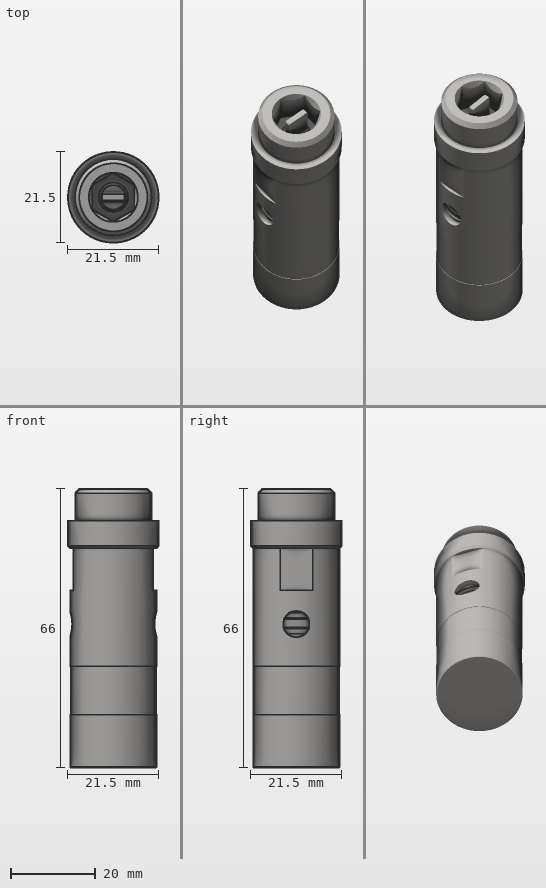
import cadquery as cq
import math

total_height = 66.0
flange_top = 58.5
flange_bottom = 52.0
flat_bottom = 42.0
waist_top = 24.0
base_top = 12.5

nose_radius = 9.05
flange_radius = 10.75
body_radius = 10.25
waist_radius = 10.15
nose_chamfer = 1.0
flange_chamfer = flange_radius - body_radius
base_chamfer = 0.2

flat_distance = 9.5

hex_across_flats = 10.0
hex_corner_diameter = hex_across_flats / math.cos(math.pi / 6)
hex_floor = 58.0
lead_in_radius = 5.82
lead_in_slope = math.radians(60)
lead_in_depth = lead_in_radius * math.tan(lead_in_slope)

port_height = 34.0
port_diameter = 6.2

spindle_radius = 8.8
spindle_top = 46.0
stem_radius = 3.5
stem_chamfer = 0.6
tongue_radius = stem_radius - stem_chamfer
tongue_top = 64.8
tongue_thickness = 1.36
tongue_root_fillet = 0.8
tongue_end_chamfer = 0.25

neck_radius = 8.3
neck_middle = 34.2
neck_height = 5.0
groove_width = 0.4
groove_spacing = 2.2
groove_depth = 0.4


def cylinder(radius, bottom, top):
    return cq.Workplane("XY").workplane(offset=bottom).circle(radius).extrude(top - bottom)


def ring(outer, inner, bottom, top):
    return cylinder(outer, bottom, top).cut(cylinder(inner, bottom, top))


def make_housing():
    nose = cylinder(nose_radius, flange_top, total_height).faces(">Z").chamfer(nose_chamfer)
    flange = cylinder(flange_radius, flange_bottom, flange_top).faces("<Z").chamfer(flange_chamfer)
    barrel = cylinder(body_radius, waist_top, flange_bottom)
    waist = cylinder(waist_radius, base_top, waist_top)
    body = nose.union(flange).union(barrel).union(waist)

    for side in (-1, 1):
        flat_cut = (
            cq.Workplane("XY")
            .box(flange_radius, 2 * flange_radius, flange_bottom - flat_bottom, centered=(True, True, False))
            .translate((side * (flat_distance + flange_radius / 2), 0, flat_bottom))
        )
        body = body.cut(flat_cut)

    socket = (
        cq.Workplane("XY").workplane(offset=hex_floor)
        .transformed(rotate=(0, 0, 90))
        .polygon(6, hex_corner_diameter).extrude(total_height - hex_floor)
    )
    lead_in_tip = cq.Vector(0, 0, total_height - lead_in_depth)
    lead_in = cq.Workplane("XY").add(
        cq.Solid.makeCone(0, lead_in_radius, lead_in_depth, pnt=lead_in_tip)
    )
    port = (
        cq.Workplane("YZ").center(0, port_height)
        .circle(port_diameter / 2).extrude(flange_radius, both=True)
    )
    bore = cylinder(spindle_radius, base_top, spindle_top)
    stem_bore = cylinder(stem_radius, spindle_top, hex_floor)
    return body.cut(socket).cut(lead_in).cut(port).cut(bore).cut(stem_bore)


def make_tongue():
    half = tongue_thickness / 2
    foot = half + tongue_root_fillet
    root = hex_floor + tongue_root_fillet
    section = (
        cq.Workplane("YZ").workplane(offset=-stem_radius)
        .moveTo(-foot, hex_floor)
        .lineTo(foot, hex_floor)
        .radiusArc((half, root), tongue_root_fillet)
        .lineTo(half, tongue_top)
        .lineTo(-half, tongue_top)
        .lineTo(-half, root)
        .radiusArc((-foot, hex_floor), tongue_root_fillet)
        .close().extrude(2 * stem_radius)
    )
    envelope = cylinder(tongue_radius, hex_floor, tongue_top).faces(">Z").chamfer(tongue_end_chamfer)
    return section.intersect(envelope)


def make_spindle():
    shaft = cylinder(spindle_radius, base_top, spindle_top)
    stem = cylinder(stem_radius, spindle_top, hex_floor).faces(">Z").chamfer(stem_chamfer)
    neck_cut = ring(
        spindle_radius, neck_radius,
        neck_middle - neck_height / 2, neck_middle + neck_height / 2,
    )
    spindle = shaft.union(stem).union(make_tongue()).cut(neck_cut)
    for side in (-1, 1):
        groove_middle = neck_middle + side * groove_spacing / 2
        groove_cut = ring(
            neck_radius, neck_radius - groove_depth,
            groove_middle - groove_width / 2, groove_middle + groove_width / 2,
        )
        spindle = spindle.cut(groove_cut)
    return spindle


def make_base():
    return cylinder(body_radius, 0, base_top).faces("<Z").chamfer(base_chamfer)


housing = make_housing()
spindle = make_spindle()
base = make_base()
result = cq.Compound.makeCompound([housing.val(), spindle.val(), base.val()])